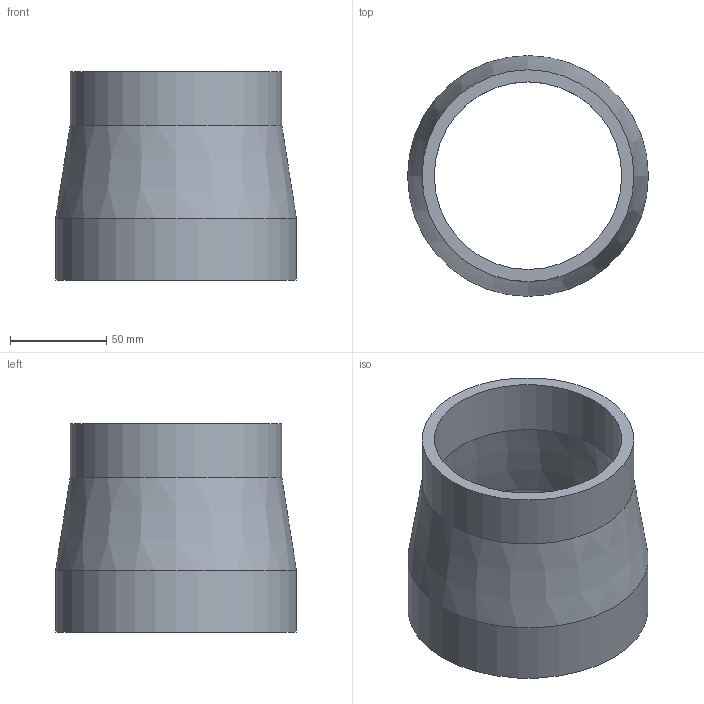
import cadquery as cq

total_height = 108.0

wide_outer_diameter = 125.0
wide_wall = 7.1
wide_length = 32.0
wide_bore_length = 36.7

narrow_outer_diameter = 110.0
narrow_wall = 6.3
narrow_length = 28.0
narrow_bore_length = 28.5

wide_outer_radius = wide_outer_diameter / 2
wide_bore_radius = wide_outer_radius - wide_wall
narrow_outer_radius = narrow_outer_diameter / 2
narrow_bore_radius = narrow_outer_radius - narrow_wall


def reducer_solid(wide_radius, lower_length, narrow_radius, upper_length):
    """Solid of revolution about Z: straight cylinder, cone, straight cylinder."""
    return (
        cq.Workplane("XZ")
        .moveTo(0, 0)
        .lineTo(wide_radius, 0)
        .lineTo(wide_radius, lower_length)
        .lineTo(narrow_radius, total_height - upper_length)
        .lineTo(narrow_radius, total_height)
        .lineTo(0, total_height)
        .close()
        .revolve(360, (0, 0, 0), (0, 1, 0))
    )


outer_body = reducer_solid(wide_outer_radius, wide_length, narrow_outer_radius, narrow_length)

bore = reducer_solid(wide_bore_radius, wide_bore_length, narrow_bore_radius, narrow_bore_length)

result = outer_body.cut(bore)